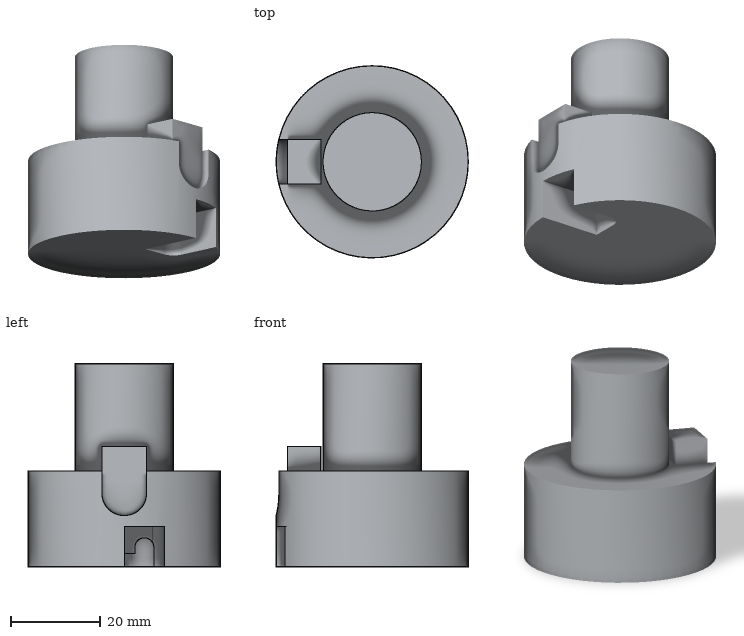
import cadquery as cq

base_diameter = 43.0
base_height = 21.5
shaft_diameter = 22.0
total_height = 45.5
base_radius = base_diameter / 2

key_width = 10.0
key_radius = key_width / 2
key_outer_x = -19.0
key_inner_x = -11.5
key_bottom_z = 11.5
key_top_z = 27.0

pocket_width = 9.0
pocket_height = 9.0
pocket_depth = 15.0
pocket_corner_radius = 2.7
pocket_back_x = -base_radius + pocket_depth

catch_length = 10.0
catch_foot_height = 3.0
tongue_width = 4.25
tongue_radius = tongue_width / 2
tongue_y = -pocket_width / 2
tongue_center_z = 4.4


def along_x(start_x):
    """Sketch plane at start_x whose sketch axes are Y and Z and whose normal is +X."""
    return cq.Workplane("YZ", origin=(start_x, 0, 0))


def round_bottom_block(start_x, end_x):
    """Key profile, a rectangle over a half circle, running from start_x to end_x."""
    return (
        along_x(start_x)
        .moveTo(-key_radius, key_top_z)
        .lineTo(-key_radius, key_bottom_z + key_radius)
        .threePointArc((0, key_bottom_z), (key_radius, key_bottom_z + key_radius))
        .lineTo(key_radius, key_top_z)
        .close()
        .extrude(end_x - start_x)
    )


def pocket_cutter():
    """Pocket volume on the -Y side of the XZ plane, rounded at its inner -Y corner."""
    block = cq.Workplane("XY").box(pocket_depth, pocket_width, pocket_height, centered=False)
    block = block.translate((-base_radius, -pocket_width, 0))
    return block.edges("|Z and >X and <Y").fillet(pocket_corner_radius)


def j_block(start_x, end_x):
    """Catch profile: a low foot beside a taller round-topped tongue."""
    tongue_inner_y = tongue_y + tongue_radius
    tongue_outer_y = tongue_y - tongue_radius
    return (
        along_x(start_x)
        .moveTo(0, 0)
        .lineTo(0, catch_foot_height)
        .lineTo(tongue_inner_y, catch_foot_height)
        .lineTo(tongue_inner_y, tongue_center_z)
        .threePointArc(
            (tongue_y, tongue_center_z + tongue_radius),
            (tongue_outer_y, tongue_center_z),
        )
        .lineTo(tongue_outer_y, 0)
        .close()
        .extrude(end_x - start_x)
    )


key = round_bottom_block(key_outer_x, key_inner_x)

catch_inner_x = pocket_back_x + catch_length
catch = j_block(pocket_back_x, catch_inner_x)

catch_recess = j_block(-base_radius, catch_inner_x)

base = cq.Workplane("XY").circle(base_radius).extrude(base_height)
shaft = cq.Workplane("XY").circle(shaft_diameter / 2).extrude(total_height)
key_seat = round_bottom_block(-base_radius, key_inner_x)
body = base.cut(key_seat).union(shaft).cut(pocket_cutter()).cut(catch_recess)

result = cq.Compound.makeCompound([body.solids().val(), key.val(), catch.val()])